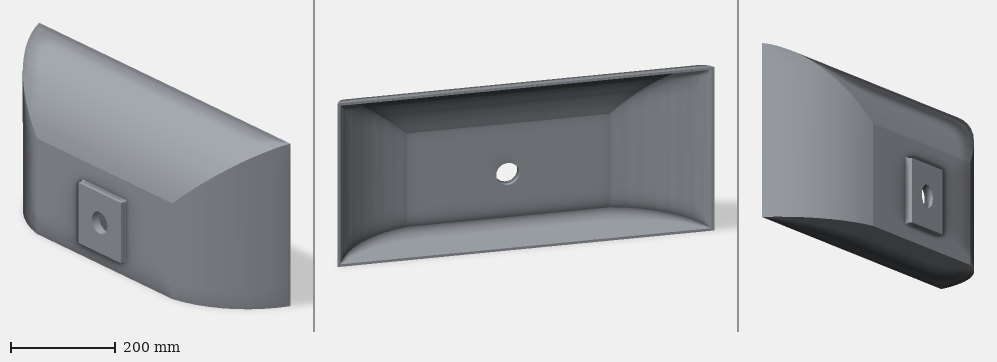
import cadquery as cq

width = 740.0
height = 340.0
depth = 150.0
wall = 5.0
face_width = 399.5
face_height = 200.0
side_radius = 235.0
top_radius = 181.0

pad_size = 126.0
pad_base_size = 132.0
pad_base_height = 4.0
pad_height = 12.5
pad_center_z = 95.0
hole_diameter = 45.0


def make_hood():
    """Intersect the plan and side outlines, then hollow from the back."""
    plan = (
        cq.Workplane("XY")
        .moveTo(-width / 2, 0)
        .radiusArc((-face_width / 2, -depth), -side_radius)
        .lineTo(face_width / 2, -depth)
        .radiusArc((width / 2, 0), -side_radius)
        .close()
        .extrude(height)
    )
    side = (
        cq.Workplane("YZ")
        .lineTo(-depth, 0)
        .lineTo(-depth, face_height)
        .radiusArc((0, height), top_radius)
        .close()
        .extrude(width / 2, both=True)
    )
    return plan.intersect(side).faces(">Y").shell(-wall)


def make_pad():
    """Square plate standing on a base that flares towards the hood face."""
    face = cq.Workplane("XZ", origin=(0, -depth, pad_center_z))
    base = (
        face.rect(pad_base_size, pad_base_size)
        .workplane(offset=pad_base_height)
        .rect(pad_size, pad_size)
        .loft(ruled=True)
    )
    plate = (
        face.workplane(offset=pad_base_height)
        .rect(pad_size, pad_size)
        .extrude(pad_height - pad_base_height)
    )
    return base.union(plate)


def make_hole():
    """Cylinder through the pad and the front wall."""
    return (
        cq.Workplane("XZ", origin=(0, 0, pad_center_z))
        .circle(hole_diameter / 2)
        .extrude(depth + pad_height)
    )


result = make_hood().union(make_pad()).cut(make_hole())